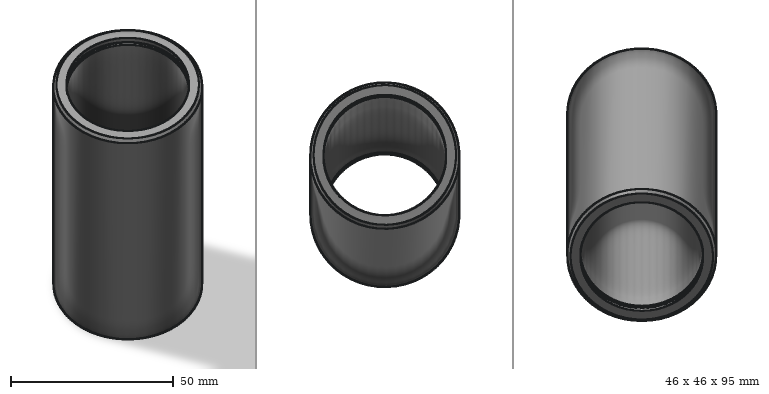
import cadquery as cq

length = 95.0
outer_diameter = 46.0
bore_diameter = 37.8
end_chamfer = 1.0
groove_offset = 2.0
groove_width = 1.3
groove_depth = 0.95


def ring_groove(bottom_z):
    """Ring of material removed from the bore wall for a retaining ring."""
    return (
        cq.Workplane("XY")
        .workplane(offset=bottom_z)
        .circle(bore_diameter / 2 + groove_depth)
        .extrude(groove_width)
    )


body = cq.Workplane("XY").circle(outer_diameter / 2).extrude(length)
body = body.faces("<Z or >Z").edges().chamfer(end_chamfer)

bore = cq.Workplane("XY").circle(bore_diameter / 2).extrude(length)
result = body.cut(bore)

for groove_bottom in (groove_offset, length - groove_offset - groove_width):
    result = result.cut(ring_groove(groove_bottom))